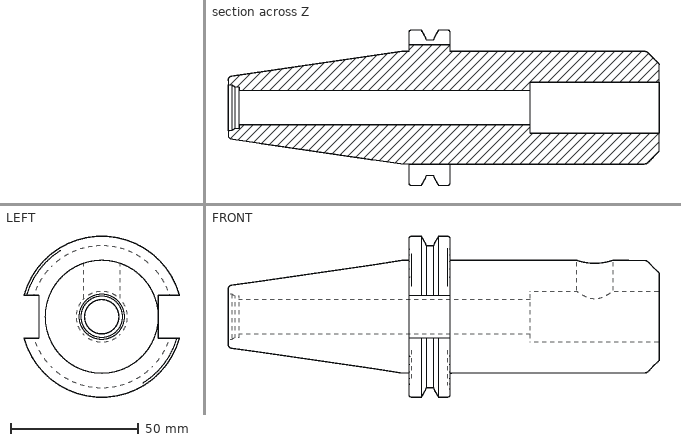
import cadquery as cq
import math

length = 169.8
body_radius = 22.3
gauge_x = 68.5
taper_slope = 7 / 48
small_end_radius = body_radius - gauge_x * taper_slope
small_end_fillet = 1.7
nose_chamfer = 5.1
nose_corner_fillet = 2.2
nose_edge_fillet = 0.5

flange_radius = 31.8
flange_start = 71.2
flange_end = 87.5
flange_edge_fillet = 1.0
groove_center_x = 79.5
groove_floor_radius = 28.0
groove_shoulder_radius = 28.9
groove_floor_width = 2.9
groove_shoulder_width = 3.4
groove_wall_angle = 30.0
groove_mouth_width = groove_shoulder_width + 2 * (
    flange_radius - groove_shoulder_radius
) * math.tan(math.radians(groove_wall_angle))

slot_width = 16.8
shallow_slot_floor = 24.8
deep_slot_floor = 22.3

through_radius = 13.5 / 2
mouth_radius = 17.8 / 2
thread_radius = 16.3 / 2
mouth_depth = 1.5
thread_start = 2.7
thread_end = 4.5
tool_bore_radius = 20.0 / 2
tool_bore_depth = 51.0

screw_hole_diameter = 14.3
screw_hole_x = 144.4


def revolve_profile(points):
    """Turn an (x, radius) outline about the X axis."""
    return cq.Workplane("XY").polyline(points).close().revolve(360, (0, 0, 0), (1, 0, 0))


def make_shank():
    """Taper and cylindrical body with rounded ends."""
    corner_x = length - nose_chamfer
    shank = revolve_profile([
        (0, 0),
        (0, small_end_radius),
        (gauge_x, body_radius),
        (corner_x, body_radius),
        (length, body_radius - nose_chamfer),
        (length, 0),
    ])
    selection_margin = 0.2
    nose_corner = cq.selectors.BoxSelector(
        (corner_x - selection_margin, -length, -length),
        (corner_x + selection_margin, length, length),
        boundingbox=True,
    )
    shank = shank.edges(nose_corner).fillet(nose_corner_fillet)
    shank = shank.faces("<X").edges().fillet(small_end_fillet)
    return shank.faces(">X").edges().fillet(nose_edge_fillet)


def make_flange():
    """Grooved flange with two drive slots."""
    flange = revolve_profile([
        (flange_start, 0),
        (flange_start, flange_radius),
        (groove_center_x - groove_mouth_width / 2, flange_radius),
        (groove_center_x - groove_shoulder_width / 2, groove_shoulder_radius),
        (groove_center_x - groove_floor_width / 2, groove_floor_radius),
        (groove_center_x + groove_floor_width / 2, groove_floor_radius),
        (groove_center_x + groove_shoulder_width / 2, groove_shoulder_radius),
        (groove_center_x + groove_mouth_width / 2, flange_radius),
        (flange_end, flange_radius),
        (flange_end, 0),
    ])
    flange = flange.faces("<X or >X").edges().fillet(flange_edge_fillet)
    flange_width = flange_end - flange_start
    flange_middle = (flange_start + flange_end) / 2
    for side, floor in ((1, shallow_slot_floor), (-1, deep_slot_floor)):
        slot = cq.Workplane("XY").box(flange_width, flange_radius, slot_width)
        slot_center_y = side * (floor + flange_radius / 2)
        flange = flange.cut(slot.translate((flange_middle, slot_center_y, 0)))
    return flange


def make_bores():
    """Stepped axial bore, drawbar end to tool end."""
    return revolve_profile([
        (0, 0),
        (0, mouth_radius),
        (mouth_depth, mouth_radius),
        (thread_start, thread_radius),
        (thread_end, thread_radius),
        (thread_end, through_radius),
        (length - tool_bore_depth, through_radius),
        (length - tool_bore_depth, tool_bore_radius),
        (length, tool_bore_radius),
        (length, 0),
    ])


def make_screw_hole():
    """Radial hole from the top of the body into the tool bore."""
    hole = cq.Workplane("XY").center(screw_hole_x, 0).circle(screw_hole_diameter / 2)
    return hole.extrude(body_radius)


result = make_shank().union(make_flange()).cut(make_bores()).cut(make_screw_hole())